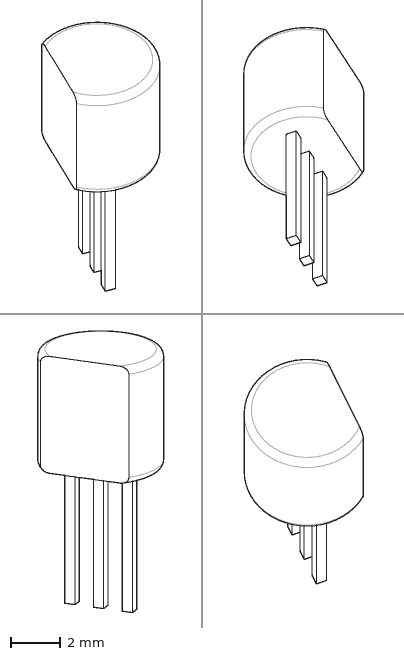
import cadquery as cq

total_height = 11.0
body_height = 5.0
body_diameter = 5.1
body_depth = 4.2
edge_radius = 0.3

lead_count = 3
lead_width = 0.45
lead_pitch = 1.26

body_radius = body_diameter / 2
flat_y = body_radius - body_depth
lead_length = total_height - body_height


def make_body():
    """Cylinder with both rims rounded, then cut flat on the -Y side."""
    cylinder = cq.Workplane("XY").circle(body_radius).extrude(body_height)
    rounded = cylinder.faces("<Z or >Z").edges().fillet(edge_radius)
    flat_cutter = cq.Workplane("XY").box(
        body_diameter, body_diameter, body_height, centered=(True, True, False)
    ).translate((0, flat_y - body_diameter / 2, 0))
    return rounded.cut(flat_cutter)


def make_leads():
    """Row of square leads along X, hanging below the body on its axis."""
    return (
        cq.Workplane("XY")
        .rarray(lead_pitch, 0.11, lead_count, 1)
        .rect(lead_width, lead_width)
        .extrude(-lead_length)
    )


result = make_body().union(make_leads())